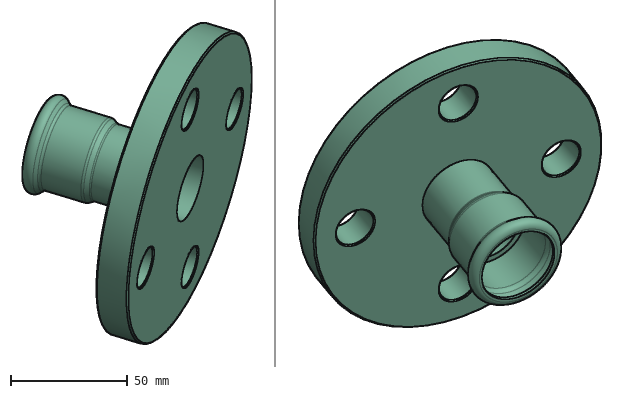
import cadquery as cq
import math

total_length = 70.0
flange_diameter = 140.0
flange_thickness = 15.0
flange_chamfer = 0.7
flange_front = total_length - flange_thickness

bolt_count = 4
bolt_circle_diameter = 100.0
bolt_hole_diameter = 18.0
bolt_hole_chamfer = 0.5

socket_radius = 19.2
neck_radius = 34.9 / 2
bore_radius = 14.8
wall = 1.5
socket_bore_radius = socket_radius - wall

bead_radius = 22.3
bead_center_r = 38.0 / 2
bead_round = bead_radius - bead_center_r
bead_cone_angle = math.radians(45)
bead_blend = 2.0

shoulder_start = 27.0
shoulder_angle = math.radians(30)
shoulder_convex = 2.4
shoulder_concave = 1.5


def cone_run(drop, convex, concave, angle):
    """Axial run of a cone that, with its two tangent rounds, descends by drop."""
    round_drop = (convex + concave) * (1 - math.cos(angle))
    return (drop - round_drop) / math.tan(angle)


def descend(sketch, top, drop, convex, concave, angle):
    """Continue a profile down a convex round, a cone and a concave round.

    The convex round has its crest at top; the profile may join it there or earlier.
    """
    x, r = top
    sin_a = math.sin(angle)
    cos_a = math.cos(angle)
    run = cone_run(drop, convex, concave, angle)
    cone_start = (x + convex * sin_a, r - convex * (1 - cos_a))
    cone_end = (cone_start[0] + run, cone_start[1] - run * math.tan(angle))
    foot = (cone_end[0] + concave * sin_a, r - drop)
    return (
        sketch.tangentArcPoint(cone_start, relative=False)
        .lineTo(*cone_end)
        .tangentArcPoint(foot, relative=False)
    )


def mouth_profile(offset):
    """Bead and socket start, drawn at a depth of offset below the outer skin."""
    bead = bead_round - offset
    crest = (bead_round, bead_center_r + bead)
    sketch = (
        cq.Workplane("XY")
        .moveTo(offset, 0)
        .lineTo(offset, bead_center_r)
    )
    drop = bead_radius - socket_radius
    return descend(sketch, crest, drop, bead, bead_blend + offset, bead_cone_angle)


def revolve_about_axis(sketch):
    return sketch.close().revolve(360, (0, 0, 0), (1, 0, 0))


def make_tube_body():
    sketch = mouth_profile(0).lineTo(shoulder_start, socket_radius)
    shoulder_drop = socket_radius - neck_radius
    sketch = descend(
        sketch,
        (shoulder_start, socket_radius),
        shoulder_drop,
        shoulder_convex,
        shoulder_concave,
        shoulder_angle,
    )
    sketch = sketch.lineTo(total_length, neck_radius).lineTo(total_length, 0)
    return revolve_about_axis(sketch)


def make_socket_cavity():
    """Inside of the bead and socket, ending in a flat pipe stop at the shoulder."""
    sketch = (
        mouth_profile(wall)
        .lineTo(shoulder_start, socket_bore_radius)
        .lineTo(shoulder_start, 0)
    )
    return revolve_about_axis(sketch)


def make_x_cylinder(start, length, radius):
    return cq.Workplane("YZ", origin=(start, 0, 0)).circle(radius).extrude(length)


def make_flange():
    disc = make_x_cylinder(flange_front, flange_thickness, flange_diameter / 2)
    disc = disc.faces("<X or >X").chamfer(flange_chamfer)
    holes = (
        cq.Workplane("YZ", origin=(flange_front, 0, 0))
        .polarArray(bolt_circle_diameter / 2, 0, 360, bolt_count)
        .circle(bolt_hole_diameter / 2)
        .extrude(flange_thickness)
    )
    drilled = disc.cut(holes)
    hole_rims = drilled.faces("<X or >X").edges(cq.selectors.RadiusNthSelector(0))
    return hole_rims.chamfer(bolt_hole_chamfer)


mouth_opening = make_x_cylinder(0, shoulder_start, socket_bore_radius)
through_bore = make_x_cylinder(0, total_length, bore_radius)

result = (
    make_tube_body()
    .union(make_flange())
    .cut(make_socket_cavity())
    .cut(mouth_opening)
    .cut(through_bore)
)